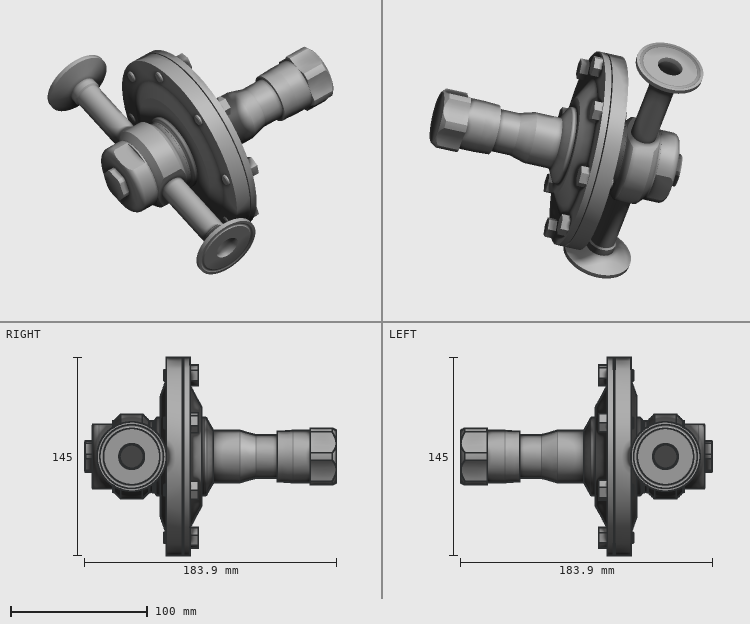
import cadquery as cq
import math


total_length = 190.5
disc_radius = 72.5

knob_top = 149.6
knob_bottom = 130.4
sleeve_taper_top = 117.5
sleeve_bottom = 106.3
stem_cone_top = 90.7
stem_cone_bottom = 79.0
bonnet_cone_top = 59.7
bonnet_edge = 53.0
cover_top = 51.3
cover_disc_top = 42.7
cover_disc_bottom = 38.0
housing_top = 37.0
housing_disc_bottom = 25.2
housing_bottom = 21.0
collar_edge = 19.6
collar_cone_bottom = 16.5
body_cone_length = 4.8
body_half_height = 7.8
cap_top = -13.7
cap_bottom = -28.8
plug_bottom = -34.3

sleeve_radius = 19.0
sleeve_end_radius = 18.5
stem_radius = 15.8
collar_radius = 28.5
cover_top_radius = 35.8
cover_cone_radius = 51.8
gasket_radius = 59.0
housing_cone_radius = 55.6
housing_bottom_radius = 43.8

collar_round_height = 2.0
collar_round_depth = 1.1

neck_radius = 26.3
body_radius = 31.0
cap_flat_distance = 23.6
cap_round = 4.8
neck_ring_top = 15.5
neck_ring_bottom = 13.3
neck_ring_depth = 0.2

plug_flat_distance = 11.5
plug_radius = 12.4
plug_face_radius = 9.5
plug_bevel = 0.5

knob_radius = 22.5
knob_top_radius = 19.0
knob_bevel = 3.0
scallop_count = 6
scallop_floor_radius = 19.2
land_half_angle = 7.0

bolt_count = 8
bolt_circle_radius = 64.2
bolt_radius = 4.2
bolt_tip = 23.3
bolt_tip_chamfer = 0.8
bolt_head_corner_radius = 7.6
bolt_head_turn = 22.5
bolt_head_top = 48.8

pipe_radius = 9.5
pipe_bore_radius = 8.5
mouth_radius = 9.3
mouth_depth = 3.2
bore_end = 29.2
ferrule_start = 79.7
ferrule_bevel = 1.1
ferrule_neck_radius = pipe_radius + ferrule_bevel
ferrule_cone_start = 86.3
ferrule_rim_start = 92.0
ferrule_radius = 25.3
seal_groove_radius = 22.0
seal_groove_half_width = 1.3
seal_groove_depth = 0.8


def hexagon_prism(corner_radius, y_low, y_high, first_corner=0, center=(0.0, 0.0)):
    """Hexagonal prism along Y; the first corner angle is in degrees from X towards Z."""
    corners = []
    for i in range(6):
        angle = math.radians(first_corner + 60 * i)
        corners.append((center[0] + corner_radius * math.cos(angle),
                        center[1] + corner_radius * math.sin(angle)))
    plane = cq.Workplane("XZ", origin=(0, y_high, 0))
    return plane.polyline(corners).close().extrude(y_high - y_low)


def cylinder_y(radius, y_low, y_high, center=(0.0, 0.0)):
    """Round bar along Y at an (X, Z) center."""
    plane = cq.Workplane("XZ", origin=(0, y_high, 0))
    return plane.center(*center).circle(radius).extrude(y_high - y_low)


def revolve_y(points):
    """Turn a closed (radius, Y) outline about the stem axis."""
    return cq.Workplane("XY").polyline(points).close().revolve(360, (0, 0), (0, 1))


def make_stem_and_housing():
    """Sleeve, stem, bonnet, cover disc, gasket, housing disc and neck as one turned outline."""
    round_start_radius = collar_radius - collar_round_depth
    bonnet_round_top = bonnet_edge + collar_round_height
    collar_round_bottom = collar_edge - collar_round_height
    round_mid = math.sqrt(0.5)
    mid_radius = round_start_radius + collar_round_depth * round_mid
    mid_height = collar_round_height * round_mid
    ring_radius = neck_radius - neck_ring_depth
    outline = (
        cq.Workplane("XY")
        .moveTo(0, knob_bottom)
        .lineTo(sleeve_radius, knob_bottom)
        .lineTo(sleeve_radius, sleeve_taper_top)
        .lineTo(sleeve_end_radius, sleeve_bottom)
        .lineTo(stem_radius, sleeve_bottom)
        .lineTo(stem_radius, stem_cone_top)
        .lineTo(sleeve_radius, stem_cone_bottom)
        .lineTo(sleeve_radius, bonnet_cone_top)
        .lineTo(round_start_radius, bonnet_round_top)
        .threePointArc((mid_radius, bonnet_edge + mid_height), (collar_radius, bonnet_edge))
        .lineTo(collar_radius, cover_top)
        .lineTo(cover_top_radius, cover_top)
        .lineTo(cover_cone_radius, cover_disc_top)
        .lineTo(disc_radius, cover_disc_top)
        .lineTo(disc_radius, cover_disc_bottom)
        .lineTo(gasket_radius, cover_disc_bottom)
        .lineTo(gasket_radius, housing_top)
        .lineTo(disc_radius, housing_top)
        .lineTo(disc_radius, housing_disc_bottom)
        .lineTo(housing_cone_radius, housing_disc_bottom)
        .lineTo(housing_bottom_radius, housing_bottom)
        .lineTo(collar_radius, housing_bottom)
        .lineTo(collar_radius, collar_edge)
        .threePointArc((mid_radius, collar_edge - mid_height), (round_start_radius, collar_round_bottom))
        .lineTo(neck_radius, collar_cone_bottom)
        .lineTo(neck_radius, neck_ring_top)
        .lineTo(ring_radius, neck_ring_top)
        .lineTo(ring_radius, neck_ring_bottom)
        .lineTo(neck_radius, neck_ring_bottom)
        .lineTo(neck_radius, 0)
        .lineTo(0, 0)
        .close()
    )
    return outline.revolve(360, (0, 0), (0, 1))


def make_knob():
    """Knob with concave finger faces between narrow round lands, bevelled at the top."""
    def point(radius, degrees):
        angle = math.radians(degrees)
        return (radius * math.cos(angle), radius * math.sin(angle))

    pitch = 360 / scallop_count
    outline = cq.Workplane("XZ", origin=(0, knob_top, 0)).moveTo(*point(knob_radius, -land_half_angle))
    for i in range(scallop_count):
        land = i * pitch
        outline = outline.threePointArc(
            point(knob_radius, land),
            point(knob_radius, land + land_half_angle),
        )
        outline = outline.threePointArc(
            point(scallop_floor_radius, land + pitch / 2),
            point(knob_radius, land + pitch - land_half_angle),
        )
    blank = outline.close().extrude(knob_top - knob_bottom)
    envelope = revolve_y([
        (0, knob_bottom),
        (knob_radius, knob_bottom),
        (knob_radius, knob_top - knob_bevel),
        (knob_top_radius, knob_top),
        (0, knob_top),
    ])
    return blank.intersect(envelope)


def make_body():
    """Double-coned valve body with flat sides where the pipes enter, down to the cap."""
    cone_end = body_half_height + body_cone_length
    relief_radius = neck_radius - neck_ring_depth
    body = revolve_y([
        (0, cone_end),
        (neck_radius, cone_end),
        (body_radius, body_half_height),
        (body_radius, -body_half_height),
        (neck_radius, -cone_end),
        (relief_radius, -cone_end),
        (relief_radius, cap_top),
        (0, cap_top),
    ])
    return body.intersect(cq.Workplane("XY").box(2 * neck_radius, -2 * cap_top, 2 * body_radius))


def make_cap():
    """Round end cap with a rounded rim and two wrench flats facing up and down."""
    cap = cylinder_y(neck_radius, cap_bottom, cap_top).faces("<Y").edges().fillet(cap_round)
    flat_height = cap_top - cap_bottom
    flat_cutter = cq.Workplane("XY").box(2 * neck_radius, flat_height, neck_radius)
    for side in (-1, 1):
        cutter_center = (0, cap_bottom + flat_height / 2, side * (cap_flat_distance + neck_radius / 2))
        cap = cap.cut(flat_cutter.translate(cutter_center))
    return cap


def make_plug():
    """Hexagonal plug with turned corners and a shallow bevel around its end face."""
    corner_radius = plug_flat_distance / math.cos(math.radians(30))
    blank = hexagon_prism(corner_radius, plug_bottom, cap_bottom)
    envelope = revolve_y([
        (0, cap_bottom),
        (plug_radius, cap_bottom),
        (plug_radius, plug_bottom + plug_bevel),
        (plug_face_radius, plug_bottom),
        (0, plug_bottom),
    ])
    return blank.intersect(envelope)


def make_bolt(degrees):
    """Hex bolt through both discs; the head turns with its place on the bolt circle."""
    angle = math.radians(degrees)
    center = (bolt_circle_radius * math.cos(angle), bolt_circle_radius * math.sin(angle))
    shank = cylinder_y(bolt_radius, bolt_tip, cover_disc_top, center)
    shank = shank.faces("<Y").edges().chamfer(bolt_tip_chamfer)
    first_corner = degrees + bolt_head_turn
    head = hexagon_prism(bolt_head_corner_radius, cover_disc_top, bolt_head_top, first_corner, center)
    return shank.union(head)


def make_pipe():
    """Pipe on the +X side with a clamp ferrule, blind bore and seal groove."""
    face = total_length / 2
    outline = (
        cq.Workplane("XY")
        .moveTo(0, 0)
        .lineTo(0, pipe_radius)
        .lineTo(ferrule_start, pipe_radius)
        .lineTo(ferrule_start + ferrule_bevel, ferrule_neck_radius)
        .lineTo(ferrule_cone_start, ferrule_neck_radius)
        .lineTo(ferrule_rim_start, ferrule_radius)
        .lineTo(face, ferrule_radius)
        .lineTo(face, seal_groove_radius + seal_groove_half_width)
        .threePointArc(
            (face - seal_groove_depth, seal_groove_radius),
            (face, seal_groove_radius - seal_groove_half_width),
        )
        .lineTo(face, mouth_radius)
        .lineTo(face - mouth_depth, pipe_bore_radius)
        .lineTo(bore_end, pipe_bore_radius)
        .lineTo(bore_end, 0)
        .close()
    )
    return outline.revolve(360, (0, 0), (1, 0))


result = make_stem_and_housing().union(make_knob()).union(make_body()).union(make_cap()).union(make_plug())

bolt_pitch = 360 / bolt_count
for i in range(bolt_count):
    result = result.union(make_bolt((i + 0.5) * bolt_pitch))

pipe = make_pipe()
result = result.union(pipe).union(pipe.mirror("YZ"))